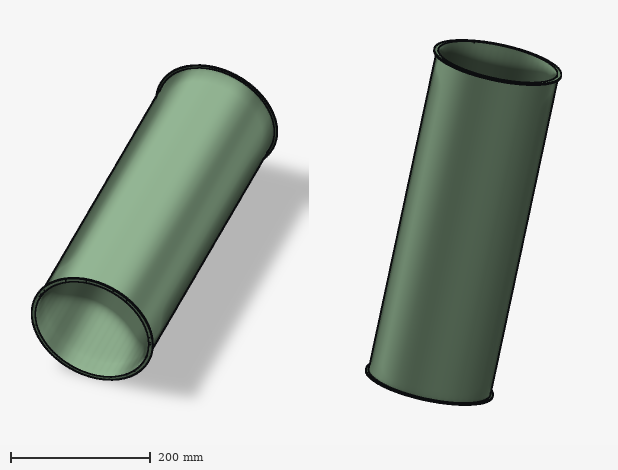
import cadquery as cq

length = 488.0
bore_diameter = 174.0
tube_diameter = 178.0
flange_diameter = 186.0
flange_thickness = 2.0

bore_radius = bore_diameter / 2
tube_radius = tube_diameter / 2
flange_radius = flange_diameter / 2
end = length / 2
flange_inner_face = end - flange_thickness

wall_section = (
    cq.Workplane("XY")
    .moveTo(bore_radius, -end)
    .lineTo(flange_radius, -end)
    .lineTo(flange_radius, -flange_inner_face)
    .lineTo(tube_radius, -flange_inner_face)
    .lineTo(tube_radius, flange_inner_face)
    .lineTo(flange_radius, flange_inner_face)
    .lineTo(flange_radius, end)
    .lineTo(bore_radius, end)
    .close()
)

result = wall_section.revolve(360, (0, 0, 0), (0, 1, 0))